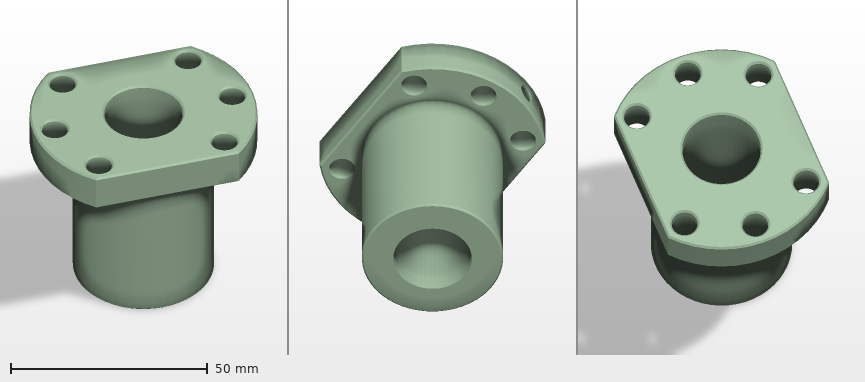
import cadquery as cq
import math

flange_diameter = 58.0
flange_width = 44.0
flange_thickness = 10.0
body_diameter = 36.0
total_length = 51.0
bore_diameter = 20.0
bolt_circle_diameter = 47.0
bolt_hole_diameter = 6.6
bolt_hole_angles = (45, 90, 135, 225, 270, 315)
oil_hole_diameter = 4.0
oil_hole_angle = 112.5
edge_chamfer = 0.5
oil_hole_depth = 10.0

flange_bottom = total_length - flange_thickness
flange_middle = total_length - flange_thickness / 2
flange_radius = flange_diameter / 2
bolt_circle_radius = bolt_circle_diameter / 2


def make_flange():
    """Round flange cut to two parallel flats, chamfered on both faces."""
    disc = cq.Workplane("XY").workplane(offset=flange_bottom).circle(flange_radius).extrude(flange_thickness)
    band = cq.Workplane("XY").box(flange_width, flange_diameter, total_length, centered=(True, True, False))
    return disc.intersect(band).faces("<Z or >Z").chamfer(edge_chamfer)


def make_body():
    """Cylindrical nut body with a chamfered free end."""
    body = cq.Workplane("XY").circle(body_diameter / 2).extrude(flange_middle)
    return body.faces("<Z").chamfer(edge_chamfer)


def top_chamfered_hole(x, y, diameter):
    """Cutter for a vertical through hole with a chamfered mouth on the flange face."""
    radius = diameter / 2
    profile = [
        (0, 0),
        (radius, 0),
        (radius, total_length - edge_chamfer),
        (radius + edge_chamfer, total_length),
        (0, total_length),
    ]
    cutter = cq.Workplane("XZ").polyline(profile).close().revolve(360, (0, 0), (0, 1))
    return cutter.translate((x, y, 0))


def make_oil_hole():
    """Cutter for the blind radial oil hole in the flange rim, with a countersunk mouth."""
    angle = math.radians(oil_hole_angle)
    outward = cq.Vector(math.cos(angle), math.sin(angle), 0)
    center = cq.Vector(0, 0, flange_middle)
    radius = oil_hole_diameter / 2
    drill = cq.Solid.makeCylinder(
        radius,
        oil_hole_depth,
        center + outward * (flange_radius - oil_hole_depth),
        outward,
    )
    mouth = cq.Solid.makeCone(
        radius,
        radius + edge_chamfer,
        edge_chamfer,
        center + outward * (flange_radius - edge_chamfer),
        outward,
    )
    return cq.Workplane(drill).union(cq.Workplane(mouth))


result = make_flange().union(make_body())
result = result.cut(top_chamfered_hole(0, 0, bore_diameter))
for hole_angle in bolt_hole_angles:
    hole_x = bolt_circle_radius * math.cos(math.radians(hole_angle))
    hole_y = bolt_circle_radius * math.sin(math.radians(hole_angle))
    result = result.cut(top_chamfered_hole(hole_x, hole_y, bolt_hole_diameter))
result = result.cut(make_oil_hole())